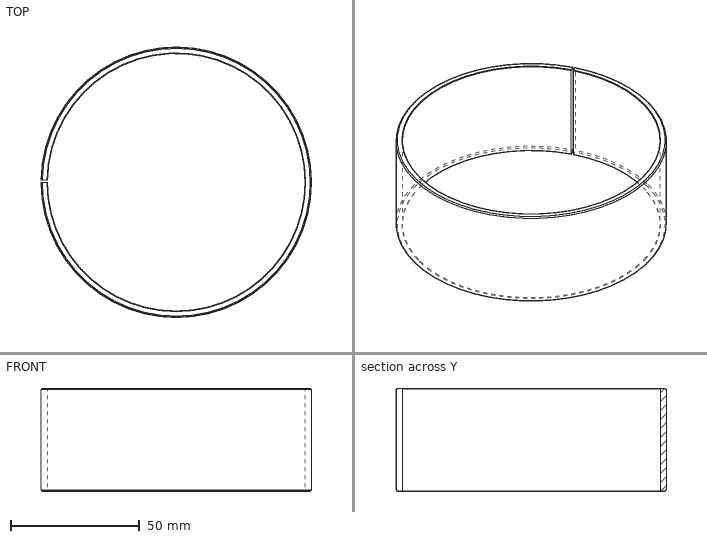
import cadquery as cq

outer_diameter = 105.0
wall = 2.5
height = 40.0
slit_width = 0.8
outer_chamfer = 0.5
inner_chamfer = 0.2

outer_radius = outer_diameter / 2
inner_radius = outer_radius - wall
half_height = height / 2

wall_section = (
    cq.Workplane("XZ")
    .moveTo(inner_radius + inner_chamfer, -half_height)
    .lineTo(outer_radius - outer_chamfer, -half_height)
    .lineTo(outer_radius, -half_height + outer_chamfer)
    .lineTo(outer_radius, half_height - outer_chamfer)
    .lineTo(outer_radius - outer_chamfer, half_height)
    .lineTo(inner_radius + inner_chamfer, half_height)
    .lineTo(inner_radius, half_height - inner_chamfer)
    .lineTo(inner_radius, -half_height + inner_chamfer)
    .close()
)
ring = wall_section.revolve(360, (0, 0, 0), (0, 1, 0))

slit_length = outer_diameter
slit = cq.Workplane("XY").box(slit_length, slit_width, 2 * height).translate((-slit_length / 2, slit_width / 2, 0))

result = ring.cut(slit)